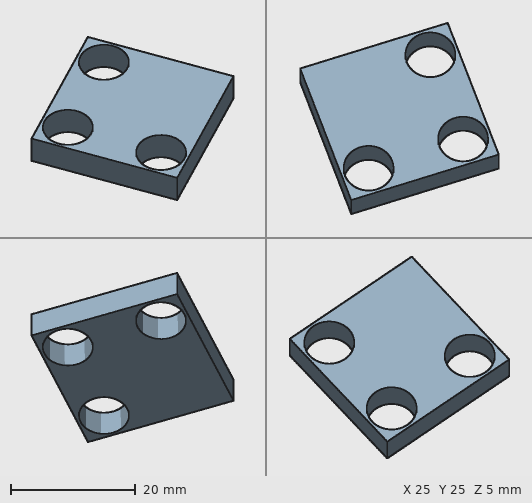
import cadquery as cq

plate_side = 25
plate_thickness = 5

hole_diameter = 8
edge_wall = 0.5
hole_offset = plate_side / 2 - edge_wall - hole_diameter / 2

hole_centers = [
    (-hole_offset, -hole_offset),
    (hole_offset, -hole_offset),
    (-hole_offset, hole_offset),
]

plate = cq.Workplane("XY").box(plate_side, plate_side, plate_thickness)

result = (
    plate.faces(">Z")
    .workplane()
    .pushPoints(hole_centers)
    .hole(hole_diameter)
)